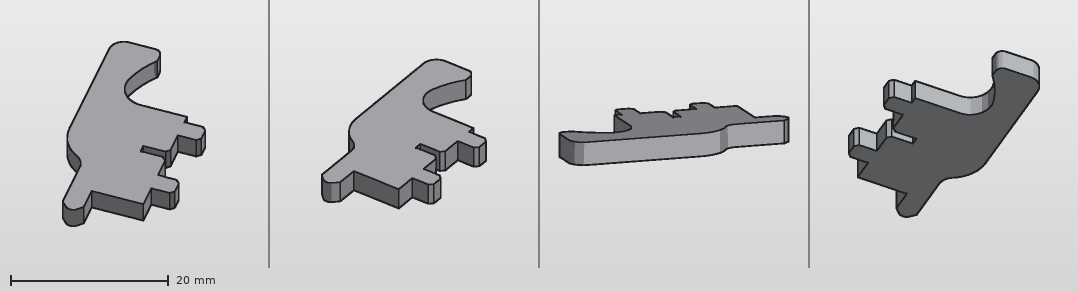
import cadquery as cq
import math

thickness = 3.0
top_y = 26.5
body_right = 13.4
body_top = 16.5
corner_chamfer = 0.5

tab_length = 3.0
tab_width = 2.5
tab_bottoms = (3.0, 13.0)
slot_width = 1.0
slot_depth = 3.5
slot_center_y = (sum(tab_bottoms) + tab_width) / 2

stem_center_x = 5.0
stem_width = 2.86
stem_length = 4.0
tip_chamfer = 1.0
tip_radius = 1.0
stem_left = stem_center_x - stem_width / 2
stem_right = stem_center_x + stem_width / 2
shoulder_y = -stem_length + tip_chamfer
chamfer_angle = math.radians(45)
tip_flat_half = stem_width / 2 - tip_chamfer - tip_radius * math.tan(chamfer_angle / 2)
tip_round_half = tip_flat_half + tip_radius * math.sin(chamfer_angle)
tip_round_y = -stem_length + tip_radius * (1 - math.cos(chamfer_angle))

heel_radius = 5.0
neck_radius = 2.0
neck_end_y = 3.5
blend_angle = math.acos(1 - stem_left / (heel_radius + neck_radius))
heel_start_y = neck_end_y + (heel_radius + neck_radius) * math.sin(blend_angle)

hook_right = 6.5
hook_outer_radius = 2.0
hook_tip_radius = 1.0
hook_tip_bottom = 24.6
throat_left = 4.1
throat_radius = 3.0
flank_start_angle = math.radians(17)
throat_center_x = throat_left + throat_radius
throat_center_y = body_top + throat_radius


def on_circle(center_x, center_y, radius, angle):
    """Point on a circle at the given angle in radians."""
    return (center_x + radius * math.cos(angle), center_y + radius * math.sin(angle))


def draw_stem(outline):
    """From the end of the neck, around the stem tip, to the stem's right root."""
    return (
        outline.lineTo(stem_left, shoulder_y)
        .lineTo(stem_center_x - tip_round_half, tip_round_y)
        .radiusArc((stem_center_x - tip_flat_half, -stem_length), -tip_radius)
        .lineTo(stem_center_x + tip_flat_half, -stem_length)
        .radiusArc((stem_center_x + tip_round_half, tip_round_y), -tip_radius)
        .lineTo(stem_right, shoulder_y)
        .lineTo(stem_right, 0)
    )


def draw_tab(outline, bottom):
    """Tab with chamfered outer corners, drawn upward along the right edge."""
    tip_x = body_right + tab_length
    top = bottom + tab_width
    return (
        outline.lineTo(body_right, bottom)
        .lineTo(tip_x - corner_chamfer, bottom)
        .lineTo(tip_x, bottom + corner_chamfer)
        .lineTo(tip_x, top - corner_chamfer)
        .lineTo(tip_x - corner_chamfer, top)
        .lineTo(body_right, top)
    )


def draw_slot(outline):
    """Slot with a chamfered mouth, drawn upward along the right edge."""
    bottom = slot_center_y - slot_width / 2
    top = slot_center_y + slot_width / 2
    return (
        outline.lineTo(body_right, bottom - corner_chamfer)
        .lineTo(body_right - corner_chamfer, bottom)
        .lineTo(body_right - slot_depth, bottom)
        .lineTo(body_right - slot_depth, top)
        .lineTo(body_right - corner_chamfer, top)
        .lineTo(body_right, top + corner_chamfer)
    )


def draw_hook(outline):
    """From the body's top edge, through the throat and around the hook to the left edge."""
    throat_middle = on_circle(throat_center_x, throat_center_y, throat_radius, math.pi)
    throat_end = on_circle(throat_center_x, throat_center_y, throat_radius, math.pi - flank_start_angle)
    return (
        outline.lineTo(throat_center_x, body_top)
        .threePointArc(throat_middle, throat_end)
        .tangentArcPoint((hook_right, hook_tip_bottom), relative=False)
        .lineTo(hook_right, top_y - hook_tip_radius)
        .radiusArc((hook_right - hook_tip_radius, top_y), -hook_tip_radius)
        .lineTo(hook_outer_radius, top_y)
        .radiusArc((0, top_y - hook_outer_radius), -hook_outer_radius)
    )


def draw_heel(outline):
    """From the left edge through the heel and neck arcs to the stem's left side."""
    heel_end = on_circle(heel_radius, heel_start_y, heel_radius, math.pi + blend_angle)
    return (
        outline.lineTo(0, heel_start_y)
        .radiusArc(heel_end, -heel_radius)
        .radiusArc((stem_left, neck_end_y), neck_radius)
    )


lower_tab, upper_tab = tab_bottoms
profile = cq.Workplane("XY").moveTo(stem_left, neck_end_y)
profile = draw_stem(profile)
profile = profile.lineTo(body_right, 0)
profile = draw_tab(profile, lower_tab)
profile = draw_slot(profile)
profile = draw_tab(profile, upper_tab)
profile = profile.lineTo(body_right, body_top)
profile = draw_hook(profile)
profile = draw_heel(profile)
result = profile.close().extrude(thickness)